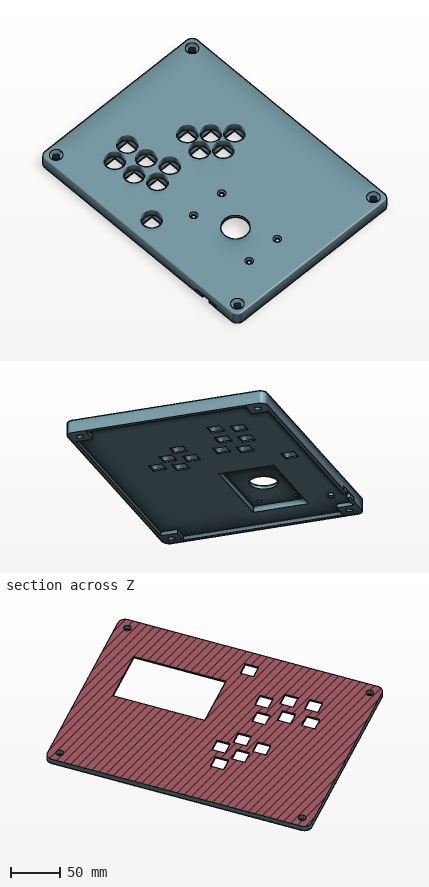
import cadquery as cq

LENGTH = 288.35
WIDTH = 217.8
HEIGHT = 14.7
CORNER_RADIUS = 8.0
TOP_FILLET = 2.0

WALL = 4.0
CAVITY_DEPTH = 4.3
SCREW_BOSS_SIDE = 20.0

SCREW_INSET = 12.0
SCREW_HOLE = 7.24
SCREW_HEAD = 13.8
COUNTERSINK_ANGLE = 90.0

BUTTON_DIAMETER = 22.0
BUTTON_RIM_FILLET = 0.5
SWITCH_SIDE = 14.0
SWITCH_PLATE = 1.5
BUTTON_CENTERS = [
    (-25.3, 52.8),
    (-41.75, 35.25),
    (-18.2, 29.95),
    (-57.95, 17.65),
    (-34.7, 12.35),
    (-41.75, -23.15),
    (-65.35, -33.8),
    (-91.25, -35.45),
    (-35.9, -46.5),
    (-59.3, -57.0),
    (-85.5, -58.95),
    (-5.8, -84.0),
]

STICK_CENTER = (61.1, -30.2)
STICK_HOLE = 30.0
STICK_PLATE = 3.7
STICK_POCKET = (100.0, 60.0)
STICK_SCREW_SPACING = (81.0, 40.0)
STICK_SCREW_HOLE = 5.0
STICK_SCREW_HEAD = 8.6

PORT_X = 98.4
PORT_HEIGHT = 4.5
PORT_RECESS_WIDTH = 28.8
PORT_RECESS_DEPTH = 0.1
PORT_SLOT_WIDTH = 9.8

POST_CENTER = (97.2, -90.0)
POST_DIAMETER = 6.0
POST_CLEARANCE = 1.4


def box_on_underside(center, size, height):
    """Upright box standing on the plane of the underside."""
    return cq.Workplane("XY").center(*center).rect(*size).extrude(height)


def rectangle_corners(center, size):
    """The four corners of a rectangle."""
    return [
        (center[0] + x_side * size[0] / 2, center[1] + y_side * size[1] / 2)
        for x_side in (-1, 1)
        for y_side in (-1, 1)
    ]


def case_block():
    """Solid block with rounded corners and a rounded top edge."""
    block = box_on_underside((0, 0), (LENGTH, WIDTH), HEIGHT)
    block = block.edges("|Z").fillet(CORNER_RADIUS)
    return block.faces(">Z").edges().fillet(TOP_FILLET)


def cut_cavity(body, screw_centers):
    """Hollow the underside, leaving the walls and a square boss at each corner screw."""
    cavity = box_on_underside((0, 0), (LENGTH - 2 * WALL, WIDTH - 2 * WALL), CAVITY_DEPTH)
    for center in screw_centers:
        boss = box_on_underside(center, (SCREW_BOSS_SIDE, SCREW_BOSS_SIDE), CAVITY_DEPTH)
        cavity = cavity.cut(boss)
    return body.cut(cavity)


def cut_buttons(body):
    """Round wells with rounded rims, each with a square opening in its floor."""
    well_floor = CAVITY_DEPTH + SWITCH_PLATE
    wells = (
        cq.Workplane("XY", origin=(0, 0, well_floor))
        .pushPoints(BUTTON_CENTERS)
        .circle(BUTTON_DIAMETER / 2)
        .extrude(HEIGHT - well_floor)
    )
    openings = (
        cq.Workplane("XY")
        .pushPoints(BUTTON_CENTERS)
        .rect(SWITCH_SIDE, SWITCH_SIDE)
        .extrude(HEIGHT)
    )
    body = body.cut(wells)
    largest_circles = cq.selectors.RadiusNthSelector(-1)
    rims = body.faces(">Z").edges("%CIRCLE").edges(largest_circles)
    return rims.fillet(BUTTON_RIM_FILLET).cut(openings)


def cut_countersunk_holes(body, centers, hole, head):
    """Countersunk through holes sunk from the top face."""
    top = cq.Workplane("XY", origin=(0, 0, HEIGHT)).add(body)
    return top.pushPoints(centers).cskHole(hole, head, COUNTERSINK_ANGLE)


def cut_stick_mount(body):
    """Pocket under the joystick, its shaft hole and its four screws."""
    pocket = box_on_underside(STICK_CENTER, STICK_POCKET, HEIGHT - STICK_PLATE)
    shaft = cq.Workplane("XY").center(*STICK_CENTER).circle(STICK_HOLE / 2).extrude(HEIGHT)
    screws = rectangle_corners(STICK_CENTER, STICK_SCREW_SPACING)
    body = body.cut(pocket).cut(shaft)
    return cut_countersunk_holes(body, screws, STICK_SCREW_HOLE, STICK_SCREW_HEAD)


def cut_cable_port(body):
    """Recess in the front face and a slot through the front wall."""
    center = (PORT_X, -WIDTH / 2)
    recess = box_on_underside(center, (PORT_RECESS_WIDTH, 2 * PORT_RECESS_DEPTH), PORT_HEIGHT)
    slot = box_on_underside(center, (PORT_SLOT_WIDTH, 2 * WALL), PORT_HEIGHT)
    return body.cut(recess).cut(slot)


def cable_post():
    """Post from just above the underside up to the cavity roof."""
    return (
        cq.Workplane("XY", origin=(*POST_CENTER, POST_CLEARANCE))
        .circle(POST_DIAMETER / 2)
        .extrude(CAVITY_DEPTH - POST_CLEARANCE)
    )


corner_screws = rectangle_corners((0, 0), (LENGTH - 2 * SCREW_INSET, WIDTH - 2 * SCREW_INSET))

result = case_block()
result = cut_buttons(result)
result = cut_cavity(result, corner_screws)
result = cut_stick_mount(result)
result = cut_countersunk_holes(result, corner_screws, SCREW_HOLE, SCREW_HEAD)
result = cut_cable_port(result)
result = result.union(cable_post())